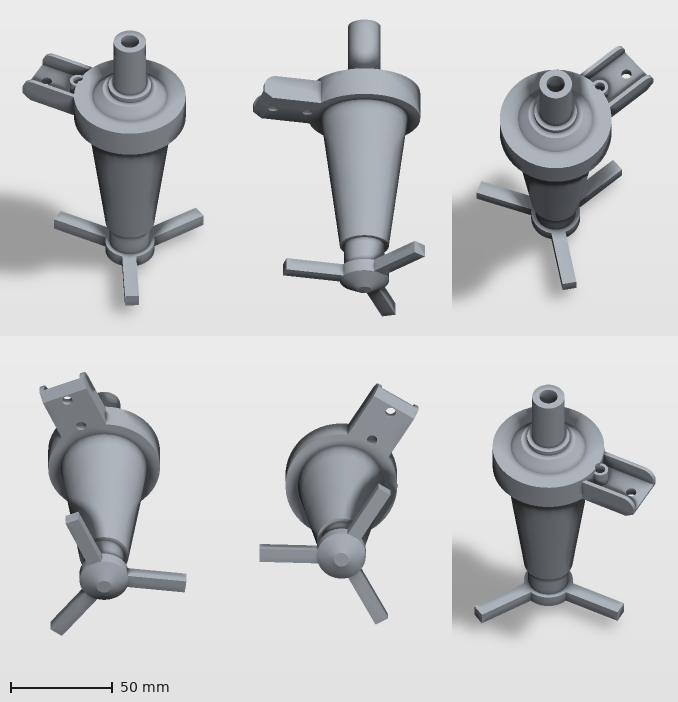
import cadquery as cq

HUB_BOTTOM = 4.9
HUB_TOP = 11.1
NECK_TOP = 24.1
RING_BOTTOM = 94.0
RING_TOP = 108.1
DOME_TOP = 113.0
COLLAR_TOP = 115.6
SHAFT_TOP = 144.5

TIP_DIAMETER = 7.2
HUB_DIAMETER = 24.1
NECK_DIAMETER = 20.0
TAPER_TOP_DIAMETER = 42.8
RING_DIAMETER = 55.0
DOME_BASE_DIAMETER = 37.0
DOME_TOP_DIAMETER = 26.9
COLLAR_DIAMETER = 21.0
SHAFT_DIAMETER = 16.0
SHAFT_BORE_DIAMETER = 9.0

ARM_REACH = 40.3
ARM_WIDTH = 7.0
OFF_AXIS_SHIFT = 0.9
ARMS = [(180, 0), (60, OFF_AXIS_SHIFT), (-60, OFF_AXIS_SHIFT)]

OVERALL_X = 81.0
BRACKET_REACH = OVERALL_X - RING_DIAMETER / 2
BRACKET_INNER_END = 21.7
BRACKET_WIDTH = 23.4
BRACKET_TOP = 106.2
PLATE_THICKNESS = 4.3
WALL_THICKNESS = 2.0
WALL_CORNER_RADIUS = 6.0
CHAMFER_LENGTH = 4.2
CHAMFER_HEIGHT = 3.0

POST_X = -28.8
POST_DIAMETER = 8.1
BOLT_HOLE_X = -46.1
HOLE_DIAMETER = 5.0


def make_body():
    """Turn the whole axial profile, from the conical tip to the shaft."""
    profile = [
        (0, 0),
        (TIP_DIAMETER / 2, 0),
        (HUB_DIAMETER / 2, HUB_BOTTOM),
        (HUB_DIAMETER / 2, HUB_TOP),
        (NECK_DIAMETER / 2, HUB_TOP),
        (NECK_DIAMETER / 2, NECK_TOP),
        (HUB_DIAMETER / 2, NECK_TOP),
        (TAPER_TOP_DIAMETER / 2, RING_BOTTOM),
        (RING_DIAMETER / 2, RING_BOTTOM),
        (RING_DIAMETER / 2, RING_TOP),
        (DOME_BASE_DIAMETER / 2, RING_TOP),
        (DOME_TOP_DIAMETER / 2, DOME_TOP),
        (COLLAR_DIAMETER / 2, DOME_TOP),
        (COLLAR_DIAMETER / 2, COLLAR_TOP),
        (SHAFT_DIAMETER / 2, COLLAR_TOP),
        (SHAFT_DIAMETER / 2, SHAFT_TOP),
        (0, SHAFT_TOP),
    ]
    return cq.Workplane("XZ").polyline(profile).close().revolve(360, (0, 0), (0, 1))


def make_arm(angle, shift):
    """Straight bar from the axis outward, as tall as the hub."""
    return (
        cq.Workplane("XY", origin=(0, 0, HUB_BOTTOM))
        .center(ARM_REACH / 2, -shift)
        .rect(ARM_REACH, ARM_WIDTH)
        .extrude(HUB_TOP - HUB_BOTTOM)
        .rotate((0, 0, 0), (0, 0, 1), angle)
    )


def make_bracket():
    """Channel with a rounded upper corner and a chamfered lower corner at its free end."""
    floor = RING_BOTTOM + PLATE_THICKNESS
    side = (
        cq.Workplane("XZ")
        .moveTo(-BRACKET_INNER_END, RING_BOTTOM)
        .lineTo(-BRACKET_REACH + CHAMFER_LENGTH, RING_BOTTOM)
        .lineTo(-BRACKET_REACH, RING_BOTTOM + CHAMFER_HEIGHT)
        .lineTo(-BRACKET_REACH, BRACKET_TOP - WALL_CORNER_RADIUS)
        .radiusArc((-BRACKET_REACH + WALL_CORNER_RADIUS, BRACKET_TOP), WALL_CORNER_RADIUS)
        .lineTo(-BRACKET_INNER_END, BRACKET_TOP)
        .close()
        .extrude(BRACKET_WIDTH / 2, both=True)
    )
    channel = (
        cq.Workplane("XY", origin=(-BRACKET_REACH, 0, floor))
        .rect(2 * BRACKET_REACH, BRACKET_WIDTH - 2 * WALL_THICKNESS)
        .extrude(BRACKET_TOP - floor)
    )
    return side.cut(channel)


def vertical_cylinder(x, diameter, bottom, top):
    """Upright cylinder with its axis in the XZ plane."""
    return cq.Workplane("XY", origin=(x, 0, bottom)).circle(diameter / 2).extrude(top - bottom)


result = make_body().union(make_bracket())
for arm_angle, arm_shift in ARMS:
    result = result.union(make_arm(arm_angle, arm_shift))
result = result.union(vertical_cylinder(POST_X, POST_DIAMETER, RING_BOTTOM, BRACKET_TOP))

for hole_x in (POST_X, BOLT_HOLE_X):
    result = result.cut(vertical_cylinder(hole_x, HOLE_DIAMETER, RING_BOTTOM, RING_TOP))

result = result.cut(vertical_cylinder(0, SHAFT_BORE_DIAMETER, COLLAR_TOP, SHAFT_TOP))